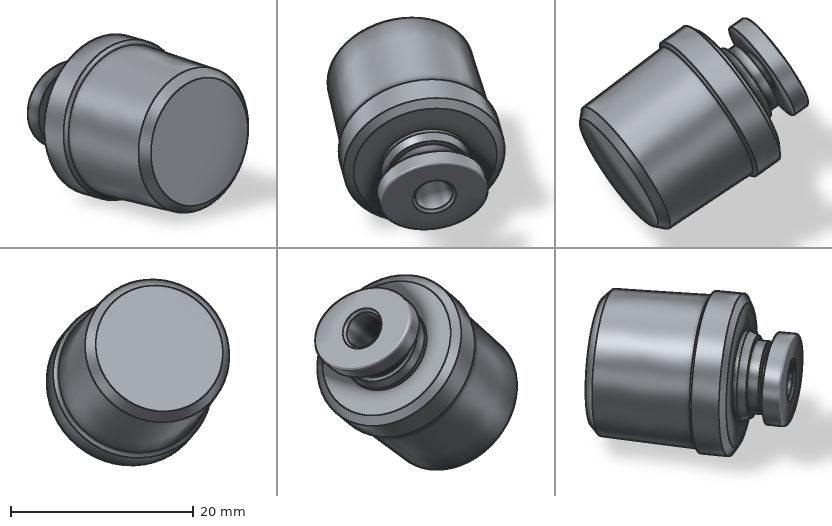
import cadquery as cq

length = 21.6
flange_end = 2.0
neck_end = 2.87
step_end = 4.13
cone_end = 5.08
housing_start = 5.6
front_chamfer_end = 6.2
collar_end = 9.3
barrel_start = 9.61
end_chamfer = 0.97
barrel_end = length - end_chamfer

flange_width = 12.05
flange_height = 9.78
flange_fillet = 0.3
neck_diameter = 5.2
step_diameter = 8.1
cone_diameter = 9.12
seat_diameter = 10.0
bore_diameter = 4.2
bore_chamfer = 0.32

collar_diameter = 18.0
front_face_diameter = 16.0
barrel_large_diameter = 17.0
barrel_taper = 1 / 16
barrel_small_diameter = barrel_large_diameter - barrel_taper * (barrel_end - barrel_start)

x_center = -length / 2


def disc(start, end, diameter):
    """Cylinder around the X axis between two positions."""
    return cq.Workplane("YZ", origin=(x_center + start, 0, 0)).circle(diameter / 2).extrude(end - start)


def make_flange():
    """Oval flange with its outer rim rounded."""
    outline = cq.Workplane("YZ", origin=(x_center, 0, 0)).ellipse(flange_width / 2, flange_height / 2)
    return outline.extrude(flange_end).faces("<X").edges().fillet(flange_fillet)


def make_seat():
    """Conical shoulder and short cylinder that rest on the housing face."""
    profile = [
        (x_center + step_end, 0),
        (x_center + step_end, cone_diameter / 2),
        (x_center + cone_end, seat_diameter / 2),
        (x_center + housing_start, seat_diameter / 2),
        (x_center + housing_start, 0),
    ]
    return cq.Workplane("XY").polyline(profile).close().revolve(360, (0, 0, 0), (1, 0, 0))


def make_stem():
    """Flanged stem with a chamfered bore through to the housing face."""
    body = make_flange()
    body = body.union(disc(flange_end, neck_end, neck_diameter))
    body = body.union(disc(neck_end, step_end, step_diameter))
    body = body.union(make_seat())
    body = body.cut(disc(0, housing_start, bore_diameter))
    mouth = body.faces("<X").edges(cq.selectors.RadiusNthSelector(0))
    return mouth.chamfer(bore_chamfer)


def make_housing():
    """Chamfered collar and a straight tapered barrel with a chamfered end."""
    profile = (
        cq.Workplane("XY")
        .moveTo(x_center + housing_start, 0)
        .lineTo(x_center + housing_start, front_face_diameter / 2)
        .lineTo(x_center + front_chamfer_end, collar_diameter / 2)
        .lineTo(x_center + collar_end, collar_diameter / 2)
        .lineTo(x_center + barrel_start, barrel_large_diameter / 2)
        .lineTo(x_center + barrel_end, barrel_small_diameter / 2)
        .lineTo(x_center + length, barrel_small_diameter / 2 - end_chamfer)
        .lineTo(x_center + length, 0)
        .close()
    )
    return profile.revolve(360, (0, 0, 0), (1, 0, 0))


stem = make_stem()
housing = make_housing()

result = cq.Compound.makeCompound([stem.val(), housing.val()])